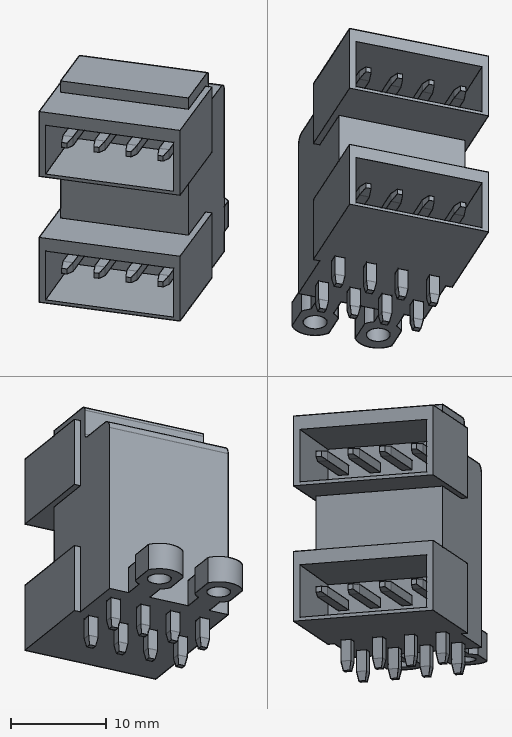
import cadquery as cq


PITCH = 3.5
PINS_PER_ROW = 4
ROW_SPACING = 14.5

CORE_WIDTH = 13.97
CORE_FRONT = 5.2
CORE_BACK = 17.68
STEP_BACK = 12.15
CORE_HEIGHT = 23.27
SHOULDER_HEIGHT = 19.5
SHOULDER_RADIUS = 1.0
STEP_RADIUS = 0.5

CUP_WIDTH = 15.4
CUP_DEPTH = 11.13
CUP_HEIGHT = 7.47
CAVITY_WIDTH = CORE_WIDTH
CAVITY_DEPTH = 9.0
CAVITY_HEIGHT = 5.62
CAVITY_FLOOR = 0.37
CAVITY_TAPER = 0.13

LUG_THICKNESS = 2.92
LUG_RADIUS = 2.52
LUG_WIDTH = 4.08
LUG_HOLE = 2.5
NECK_WIDTH = 2.5
LUG_END = 24.7
LUG_Y = LUG_END - LUG_RADIUS
LUG_X = PITCH

PIN_WIDTH = 1.1
PIN_THICKNESS = 1.0
PRONG_HEIGHT = 3.47
PRONG_START = 1.0
PRONG_TIP_LENGTH = 1.25
PRONG_TIP_SIZE = 0.58
TAIL_LENGTH = 3.23
TAIL_TIP_LENGTH = 0.98
TAIL_TIP_WIDTH = 0.72
TAIL_TIP_THICKNESS = 0.64
LOWER_TAIL_Y = 10.23
UPPER_TAIL_Y = 15.25


def block(width, y_front, y_back, z_bottom, z_top, x_center=0):
    """Box centred on x_center between the given Y and Z limits."""
    corner = (x_center - width / 2, y_front, z_bottom)
    return cq.Workplane("XY").box(width, y_back - y_front, z_top - z_bottom, centered=False).translate(corner)


def make_core():
    """Block with a rounded shoulder behind its raised front part."""
    profile = [
        (CORE_FRONT, 0),
        (CORE_BACK, 0),
        (CORE_BACK, SHOULDER_HEIGHT),
        (STEP_BACK, SHOULDER_HEIGHT),
        (STEP_BACK, CORE_HEIGHT),
        (CORE_FRONT, CORE_HEIGHT),
    ]
    core = cq.Workplane("YZ").polyline(profile).close().extrude(CORE_WIDTH / 2, both=True)

    def cross_edge(y, z):
        return cq.selectors.NearestToPointSelector((0, y, z))

    core = core.edges(cross_edge(CORE_BACK, SHOULDER_HEIGHT)).fillet(SHOULDER_RADIUS)
    core = core.edges(cross_edge(STEP_BACK, SHOULDER_HEIGHT)).fillet(STEP_RADIUS)
    return core.edges(cross_edge(STEP_BACK, CORE_HEIGHT)).fillet(STEP_RADIUS)


def make_cavity(floor):
    """Cup cavity that narrows in height from its mouth to its back."""
    ceiling = floor + CAVITY_HEIGHT
    profile = [
        (0, floor),
        (CAVITY_DEPTH, floor + CAVITY_TAPER),
        (CAVITY_DEPTH, ceiling - CAVITY_TAPER),
        (0, ceiling),
    ]
    return cq.Workplane("YZ").polyline(profile).close().extrude(CAVITY_WIDTH / 2, both=True)


def make_lug(x):
    """Screw lug: ring with flat sides on a neck that joins the core."""
    ring = cq.Workplane("XY").center(x, LUG_Y).circle(LUG_RADIUS).extrude(LUG_THICKNESS)
    flats = block(LUG_WIDTH, LUG_Y - LUG_RADIUS, LUG_END, 0, LUG_THICKNESS, x)
    neck = block(NECK_WIDTH, CORE_BACK, LUG_Y, 0, LUG_THICKNESS, x)
    hole = cq.Workplane("XY").center(x, LUG_Y).circle(LUG_HOLE / 2).extrude(LUG_THICKNESS)
    return ring.intersect(flats).union(neck).cut(hole)


def make_housing(pins):
    """Core, cups and lugs in one solid, with passages that fit the pins."""
    housing = make_core()
    for x in (-LUG_X, LUG_X):
        housing = housing.union(make_lug(x))
    for level in (0, ROW_SPACING):
        housing = housing.union(block(CUP_WIDTH, 0, CUP_DEPTH, level, level + CUP_HEIGHT))
    for level in (0, ROW_SPACING):
        housing = housing.cut(make_cavity(level + CAVITY_FLOOR))
    for pin in pins:
        housing = housing.cut(pin)
    return housing


def make_pin(x, prong_z, tail_y):
    """Square-bent pin: a prong along Y and a tail along Z, both with tapered ends."""
    half = PIN_THICKNESS / 2
    prong_shoulder = PRONG_START + PRONG_TIP_LENGTH
    tail_shoulder = TAIL_TIP_LENGTH - TAIL_LENGTH
    prong = block(PIN_WIDTH, prong_shoulder, tail_y + half, prong_z - half, prong_z + half, x)
    tail = block(PIN_WIDTH, tail_y - half, tail_y + half, tail_shoulder, prong_z + half, x)
    prong_tip = (
        cq.Workplane("XZ", origin=(x, prong_shoulder, prong_z))
        .rect(PIN_WIDTH, PIN_THICKNESS)
        .workplane(offset=PRONG_TIP_LENGTH)
        .rect(PRONG_TIP_SIZE, PRONG_TIP_SIZE)
        .loft(ruled=True)
    )
    tail_tip = (
        cq.Workplane("XY", origin=(x, tail_y, tail_shoulder))
        .rect(PIN_WIDTH, PIN_THICKNESS)
        .workplane(offset=-TAIL_TIP_LENGTH)
        .rect(TAIL_TIP_WIDTH, TAIL_TIP_THICKNESS)
        .loft(ruled=True)
    )
    return prong.union(tail).union(prong_tip).union(tail_tip)


pins = []
for column in range(PINS_PER_ROW):
    pin_x = (column - (PINS_PER_ROW - 1) / 2) * PITCH
    pins.append(make_pin(pin_x, PRONG_HEIGHT, LOWER_TAIL_Y))
    pins.append(make_pin(pin_x, PRONG_HEIGHT + ROW_SPACING, UPPER_TAIL_Y))

housing = make_housing(pins)

result = cq.Compound.makeCompound([housing.val(), *[pin.val() for pin in pins]])